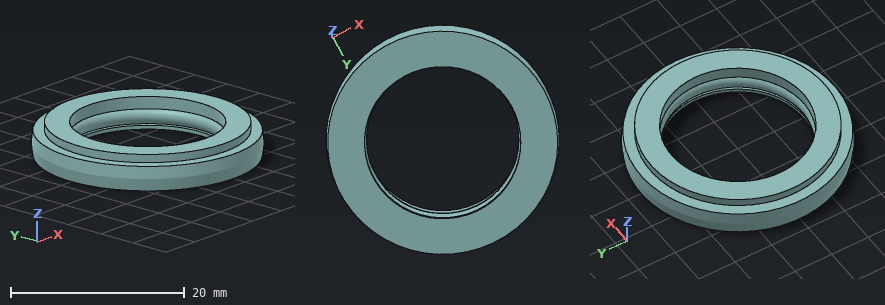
import cadquery as cq

crown_diameter = 26.9
crown_drop = 0.2
rim_height = 3.0
collar_diameter = 23.8
collar_height = 1.0
bore_diameter = 18.0

cord_diameter = 2.0
seal_inner_diameter = 17.5

crown_radius = crown_diameter / 2
rim_edge_radius = crown_radius - crown_drop
collar_radius = collar_diameter / 2
bore_radius = bore_diameter / 2
total_height = rim_height + collar_height

cord_radius = cord_diameter / 2
seal_inner_radius = seal_inner_diameter / 2
seal_center_radius = seal_inner_radius + cord_radius
seal_height = rim_height / 2

groove_radius = seal_center_radius + cord_radius
groove_bottom = seal_height - cord_radius
groove_top = seal_height + cord_radius


def make_ring():
    """Revolve the half section, drawn as radius and height, about the Z axis."""
    section = (
        cq.Workplane("XZ")
        .moveTo(bore_radius, 0)
        .lineTo(rim_edge_radius, 0)
        .lineTo(crown_radius, rim_height / 2)
        .lineTo(rim_edge_radius, rim_height)
        .lineTo(collar_radius, rim_height)
        .lineTo(collar_radius, total_height)
        .lineTo(bore_radius, total_height)
        .lineTo(bore_radius, groove_top)
        .lineTo(groove_radius, groove_top)
        .lineTo(groove_radius, groove_bottom)
        .lineTo(bore_radius, groove_bottom)
        .close()
    )
    return section.revolve(360, (0, 0, 0), (0, 1, 0))


def make_seal():
    """Revolve the round cord section; clean=False keeps its upper and lower halves as two faces."""
    section = (
        cq.Workplane("XZ")
        .moveTo(seal_inner_radius, seal_height)
        .threePointArc((seal_center_radius, groove_top), (groove_radius, seal_height))
        .threePointArc((seal_center_radius, groove_bottom), (seal_inner_radius, seal_height))
        .close()
    )
    return section.revolve(360, (0, 0, 0), (0, 1, 0), clean=False)


ring = make_ring()
seal = make_seal()

result = cq.Compound.makeCompound([ring.val(), seal.val()])